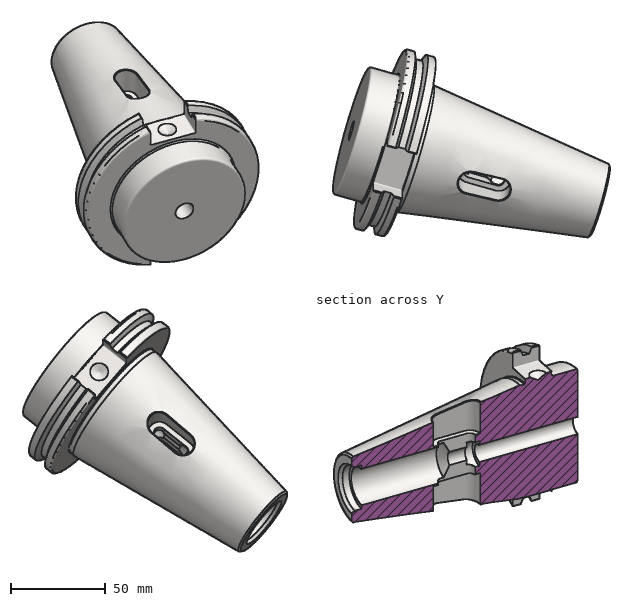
import cadquery as cq
import math

total_length = 136.6

taper_ratio = 7 / 24
taper_length = 101.5
gauge_diameter = 69.8
tip_chamfer = 1.0

neck_diameter = 69.3
neck_start = 102.8
neck_root_radius = 0.4
hub_diameter = 69.8
hub_edge_radius = 1.2
hub_root_radius = 0.8

flange_start = 104.7
flange_end = 120.8
flange_diameter = 98.4
flange_front_radius = 1.0
flange_back_radius = 1.2

groove_center = 112.7
groove_top_width = 7.0
groove_floor_width = 3.7
groove_floor_diameter = 91.0

key_width = 25.7
upper_key_floor = 37.7
lower_key_floor = 35.0
key_floor_fillet = 0.5
key_rim_chamfer = 0.7
dimple_diameter = 9.5
drill_tip_angle = 118

entry_diameter = 28.7
entry_depth = 1.9
counterbore_diameter = 26.2
counterbore_depth = 6.0
bore_diameter = 22.0
bore_depth = 57.4
recess_diameter = 14.9
recess_end = 77.2
through_diameter = 10.2

slot_center = 63.5
slot_length = 22.0
slot_width = 6.3
pocket_length = 28.1
pocket_width = 12.2
pocket_floor = 12.3
pocket_chamfer = 0.4

gauge_radius = gauge_diameter / 2
tip_radius = gauge_radius - taper_length * taper_ratio / 2
neck_radius = neck_diameter / 2
hub_radius = hub_diameter / 2
flange_radius = flange_diameter / 2
flange_length = flange_end - flange_start
drill_slope = math.tan(math.radians(drill_tip_angle / 2))
clear_height = flange_diameter / 2 + 1.4
bend = math.sqrt(0.5)


def revolve_about_x(points):
    """Revolve a closed outline of (x, radius) points about the X axis."""
    return cq.Workplane("XY").polyline(points).close().revolve(360, (0, 0, 0), (1, 0, 0))


def cylinder_along_x(diameter, start, end):
    return cq.Workplane("YZ", origin=(start, 0, 0)).circle(diameter / 2).extrude(end - start)


def make_taper():
    """Outer taper and relief neck, with a concave fillet where the neck meets the flange."""
    root = neck_root_radius
    taper = (
        cq.Workplane("XY")
        .polyline([
            (0, 0),
            (0, tip_radius),
            (taper_length, gauge_radius),
            (neck_start, neck_radius),
            (flange_start - root, neck_radius),
        ])
        .threePointArc(
            (flange_start - root * (1 - bend), neck_radius + root * (1 - bend)),
            (flange_start, neck_radius + root),
        )
        .lineTo(flange_start, 0)
        .close()
        .revolve(360, (0, 0, 0), (1, 0, 0))
    )
    return taper.faces("<X").edges().chamfer(tip_chamfer)


def cut_mouth_pockets(body):
    """Sink a chamfered round-ended pocket into the top and the bottom of the taper."""
    for side in (1, -1):
        body = body.cut(
            cq.Workplane("XY", origin=(slot_center, 0, side * pocket_floor))
            .slot2D(pocket_length, pocket_width)
            .extrude(side * clear_height)
        )
    rim = cq.selectors.BoxSelector(
        (slot_center - pocket_length, -pocket_width, pocket_floor + 1.4),
        (slot_center + pocket_length, pocket_width, clear_height),
    )
    lower_rim = cq.selectors.BoxSelector(
        (slot_center - pocket_length, -pocket_width, -pocket_floor - 1.4),
        (slot_center + pocket_length, pocket_width, -clear_height),
    )
    walls = cq.selectors.ParallelDirSelector(cq.Vector(0, 0, 1))
    return body.edges((rim + lower_rim) - walls).chamfer(pocket_chamfer)


def make_flange():
    flange = cylinder_along_x(flange_diameter, flange_start, flange_end)
    flange = flange.faces("<X").edges().fillet(flange_front_radius)
    flange = flange.faces(">X").edges().fillet(flange_back_radius)
    groove = revolve_about_x([
        (groove_center - groove_top_width / 2, flange_radius),
        (groove_center - groove_floor_width / 2, groove_floor_diameter / 2),
        (groove_center + groove_floor_width / 2, groove_floor_diameter / 2),
        (groove_center + groove_top_width / 2, flange_radius),
    ])
    return flange.cut(groove)


def make_hub():
    """Cylindrical hub with a rounded outer edge and a small fillet at the flange."""
    root = hub_root_radius
    edge = hub_edge_radius
    return (
        cq.Workplane("XY")
        .moveTo(flange_end, 0)
        .lineTo(flange_end, hub_radius + root)
        .threePointArc(
            (flange_end + root * (1 - bend), hub_radius + root * (1 - bend)),
            (flange_end + root, hub_radius),
        )
        .lineTo(total_length - edge, hub_radius)
        .threePointArc(
            (total_length - edge * (1 - bend), hub_radius - edge * (1 - bend)),
            (total_length, hub_radius - edge),
        )
        .lineTo(total_length, 0)
        .close()
        .revolve(360, (0, 0, 0), (1, 0, 0))
    )


def make_key_slot(floor, side):
    """Slot across the flange rim, with filleted floor corners and a mouth flared at 45 degrees.

    side is +1 for the top and -1 for the bottom.
    """
    half_width = key_width / 2
    flare_start = math.sqrt(flange_radius**2 - half_width**2) - key_rim_chamfer
    flared_half_width = half_width + clear_height - flare_start
    slot = (
        cq.Workplane("YZ", origin=(flange_start, 0, 0))
        .polyline([
            (-half_width, side * floor),
            (half_width, side * floor),
            (half_width, side * flare_start),
            (flared_half_width, side * clear_height),
            (-flared_half_width, side * clear_height),
            (-half_width, side * flare_start),
        ])
        .close()
        .extrude(flange_length)
    )
    floor_face = "<Z" if side > 0 else ">Z"
    return slot.faces(floor_face).edges("|X").fillet(key_floor_fillet)


def make_dimple():
    """Conical drill mark in the floor of the upper key slot."""
    radius = dimple_diameter / 2
    depth = radius / drill_slope
    return cq.Workplane("XY").add(
        cq.Solid.makeCone(0, radius, depth, cq.Vector(groove_center, 0, upper_key_floor - depth))
    )


def make_bore():
    """Stepped bore with a drill-point end, opening into the through hole."""
    bore_radius = bore_diameter / 2
    through_radius = through_diameter / 2
    cone_end = bore_depth + (bore_radius - through_radius) / drill_slope
    stepped = revolve_about_x([
        (0, 0),
        (0, entry_diameter / 2),
        (entry_depth, counterbore_diameter / 2),
        (counterbore_depth, counterbore_diameter / 2),
        (counterbore_depth, bore_radius),
        (bore_depth, bore_radius),
        (cone_end, through_radius),
        (total_length, through_radius),
        (total_length, 0),
    ])
    recess = cylinder_along_x(recess_diameter, slot_center + (slot_length - slot_width) / 2, recess_end)
    return stepped.union(recess)


def make_cross_slot():
    return (
        cq.Workplane("XY", origin=(slot_center, 0, -clear_height))
        .slot2D(slot_length, slot_width)
        .extrude(2 * clear_height)
    )


flange = make_flange()
body = cut_mouth_pockets(make_taper()).union(flange).union(make_hub())
body = body.cut(make_key_slot(upper_key_floor, 1)).cut(make_key_slot(lower_key_floor, -1))
body = body.cut(make_dimple()).cut(make_bore()).cut(make_cross_slot())

result = body